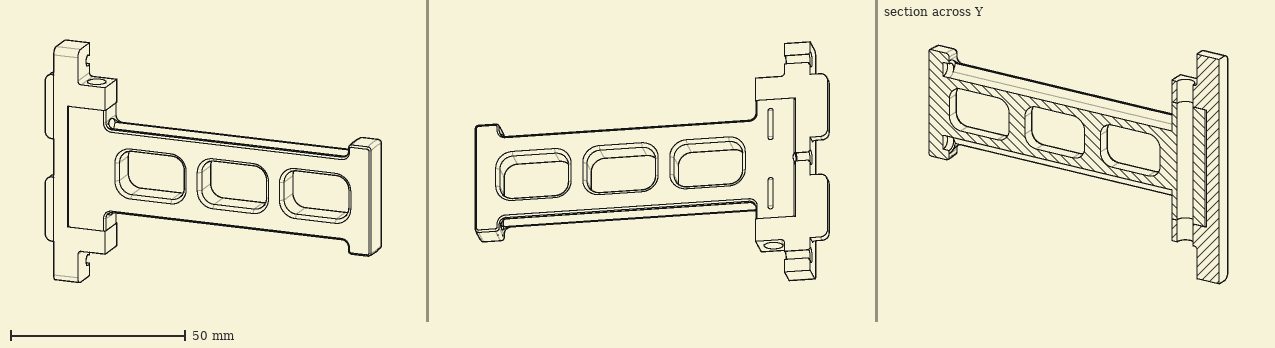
import cadquery as cq
import math

thickness = 9.0
back_y = thickness
middle_y = thickness / 2

rail_width = 7.5
rail_half_height = 35.0
rail_end_radius = 2.0
lug_right = 16.0
lug_half_height = 25.0
lug_corner_radius = 1.0

slot_left = 4.3
slot_half_height = 18.1

hook_reach = 5.0
hook_thickness = 2.9
hook_low = 5.8
hook_high = 25.0
hook_corner_radius = 2.1
hook_root_radius = 1.1

hinge_diameter = 5.4
hinge_x = 11.5

notch_mouth_diameter = 4.2
notch_chamfer = 0.5
notch_diameter = notch_mouth_diameter - 2 * notch_chamfer
notch_y = back_y - 1.0
notch_pitch = 30.0
notch_places = (-notch_pitch, 0, notch_pitch)

head_left = 4.6
beam_half_height = 12.4
tip_left = 91.0
tip_right = 98.0
tip_half_height = 16.4
edge_bulge = 0.3
inner_corner_radius = 2.0
tip_corner_radius = 1.0
arm_chamfer = 0.5

window_length = 20.0
window_height = 13.0
window_corner_radius = 3.8
window_chamfer = 1.0
window_count = 3
window_first_x = 30.0
window_pitch = 25.4
window_last_x = window_first_x + (window_count - 1) * window_pitch

groove_mouth = 6.2
groove_radius = 2.11
groove_wall_angle = math.radians(60)
groove_surface = 12.5
bore_depth = 2.1

pit_depth = 1.0

ridge_radius = 0.8
ridge_height = 0.5
ridge_low = 5.8
ridge_high = 15.5

margin = 0.2


def block(x_min, x_max, z_min, z_max, y_min=0.0, y_max=back_y):
    size = (x_max - x_min, y_max - y_min, z_max - z_min)
    return cq.Workplane("XY").box(*size, centered=False).translate((x_min, y_min, z_min))


def region(x_min, x_max, half_height):
    """Selects what is centred between two X places, within half_height of Z = 0."""
    return cq.selectors.BoxSelector(
        (x_min - margin, -margin, -half_height - margin),
        (x_max + margin, back_y + margin, half_height + margin),
    )


def hinge_hole():
    return (
        cq.Workplane("XY", origin=(hinge_x, middle_y, -lug_half_height))
        .circle(hinge_diameter / 2)
        .extrude(2 * lug_half_height)
    )




def hook():
    front = back_y - hook_thickness
    plate = block(-hook_reach, 0, hook_low, hook_high, front)
    plate = plate.edges("<X and |Y").fillet(hook_corner_radius)
    root = (
        cq.Workplane("XY", origin=(0, 0, hook_low))
        .moveTo(0, front)
        .lineTo(-hook_root_radius, front)
        .radiusArc((0, front - hook_root_radius), hook_root_radius)
        .close()
        .extrude(hook_high - hook_low)
    )
    return plate.union(root)


def notch(z):
    return (
        cq.Workplane("YZ", origin=(0, notch_y, z))
        .circle(notch_diameter / 2)
        .extrude(rail_width)
    )


def notch_countersink(z):
    """Conical chamfer where a notch opens on the left face of the rail."""
    countersink = cq.Solid.makeCone(
        notch_mouth_diameter / 2,
        notch_diameter / 2,
        notch_chamfer,
        pnt=cq.Vector(0, notch_y, z),
        dir=cq.Vector(1, 0, 0),
    )
    return cq.Workplane(countersink)


def make_bracket():
    rail = block(0, rail_width, -rail_half_height, rail_half_height)
    rail = rail.edges("<Y and |X").fillet(rail_end_radius)
    body = rail.union(block(0, lug_right, -lug_half_height, lug_half_height))
    lug_corners = region(rail_width, rail_width, lug_half_height)
    body = body.edges("|Y").edges(lug_corners).fillet(lug_corner_radius)
    body = body.cut(block(slot_left, lug_right, -slot_half_height, slot_half_height))
    body = body.union(hook()).union(hook().mirror("XY"))
    body = body.cut(hinge_hole())
    for z in notch_places:
        body = body.cut(notch(z)).cut(notch_countersink(z))
    return body




def bulging_block(x_min, x_max, half_height):
    """Block whose two Z faces are arcs that stand edge_bulge proud at mid-thickness."""
    crest = half_height + edge_bulge
    return (
        cq.Workplane("YZ", origin=(x_min, 0, 0))
        .moveTo(0, -half_height)
        .threePointArc((middle_y, -crest), (back_y, -half_height))
        .lineTo(back_y, half_height)
        .threePointArc((middle_y, crest), (0, half_height))
        .close()
        .extrude(x_max - x_min)
    )


def arm_blank():
    head = block(head_left, lug_right, -slot_half_height, slot_half_height)
    beam = bulging_block(lug_right, tip_left, beam_half_height)
    tip = bulging_block(tip_left, tip_right, tip_half_height)
    tip = tip.edges("%CIRCLE").fillet(tip_corner_radius)
    body = head.union(beam).union(tip)
    for x in (lug_right, tip_left):
        corners = region(x, x, beam_half_height + edge_bulge)
        body = body.edges("%CIRCLE").edges(corners).fillet(inner_corner_radius)
    outline = region(lug_right, tip_right, slot_half_height)
    return body.faces("<Y or >Y").edges(outline).chamfer(arm_chamfer)


def windows():
    centers = [(window_first_x + i * window_pitch, 0) for i in range(window_count)]
    return (
        cq.Workplane("XZ")
        .pushPoints(centers)
        .rect(window_length, window_height)
        .extrude(-thickness)
        .edges("|Y")
        .fillet(window_corner_radius)
    )


def groove():
    """Groove from head to tip, arched over at both ends; its round bottom bores on into the tip."""
    half_mouth = groove_mouth / 2
    half_bottom = groove_radius * math.sin(groove_wall_angle)
    wall_depth = (half_mouth - half_bottom) * math.tan(groove_wall_angle)
    wall_end = groove_surface - wall_depth
    axis_z = wall_end + groove_radius * math.cos(groove_wall_angle)
    arch_top = groove_surface + inner_corner_radius
    plane = cq.Workplane("YZ", origin=(lug_right, middle_y, 0))
    trough = (
        plane.moveTo(-half_mouth, groove_surface)
        .lineTo(-half_bottom, wall_end)
        .threePointArc((0, axis_z - groove_radius), (half_bottom, wall_end))
        .lineTo(half_mouth, groove_surface)
        .threePointArc((0, arch_top), (-half_mouth, groove_surface))
        .close()
        .extrude(tip_left - lug_right)
    )
    bore = plane.center(0, axis_z).circle(groove_radius).extrude(tip_left + bore_depth - lug_right)
    return trough.union(bore)


def ridge():
    """Round bar along Z with ball ends, partly sunk into the back face."""
    return (
        cq.Workplane("YZ", origin=(hinge_x, back_y + ridge_height - ridge_radius, 0))
        .moveTo(0, ridge_low)
        .radiusArc((ridge_radius, ridge_low + ridge_radius), -ridge_radius)
        .lineTo(ridge_radius, ridge_high - ridge_radius)
        .radiusArc((0, ridge_high), -ridge_radius)
        .close()
        .revolve(360, (0, 0, 0), (0, 1, 0))
    )


def drill_point():
    """Conical pit in the left end of the head, facing the middle notch."""
    pit = cq.Solid.makeCone(
        notch_diameter / 2,
        0,
        pit_depth,
        pnt=cq.Vector(head_left, notch_y, 0),
        dir=cq.Vector(1, 0, 0),
    )
    return cq.Workplane(pit)


def make_arm():
    body = arm_blank().cut(windows())
    window_area = region(
        window_first_x - window_length / 2,
        window_last_x + window_length / 2,
        window_height / 2,
    )
    body = body.faces("<Y or >Y").edges(window_area).chamfer(window_chamfer)
    body = body.cut(groove()).cut(groove().mirror("XY"))
    body = body.cut(hinge_hole()).cut(drill_point())
    return body.union(ridge()).union(ridge().mirror("XY"))


arm = make_arm()
bracket = make_bracket()
result = cq.Compound.makeCompound([bracket.val(), arm.val()])